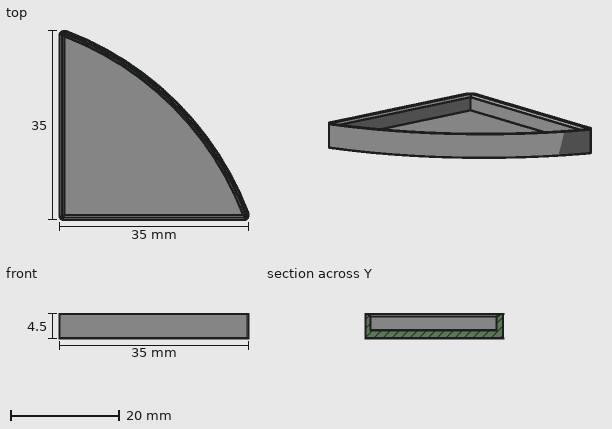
import cadquery as cq
import math

side_length = 35.0
height = 4.5
floor_thickness = 1.5
wall_thickness = 1.0
rim_chamfer = 0.5
corner_radius = 1.0
arc_radius = 58.0

tip_x = side_length - corner_radius
tip_y = corner_radius
half_sum = (tip_x + tip_y) / 2
half_difference = (tip_x - tip_y) / 2
tip_distance = arc_radius - corner_radius
arc_offset = math.sqrt(tip_distance**2 / 2 - half_difference**2) - half_sum


def sector_prism(inset, bottom, top):
    """Sharp-cornered sector: two straight sides and an arc, all moved inwards by inset."""
    radius = arc_radius - inset
    tip = math.sqrt(radius**2 - (arc_offset + inset) ** 2) - arc_offset
    arc_middle = radius / math.sqrt(2) - arc_offset
    return (
        cq.Workplane("XY", origin=(0, 0, bottom))
        .moveTo(inset, inset)
        .lineTo(tip, inset)
        .threePointArc((arc_middle, arc_middle), (inset, tip))
        .close()
        .extrude(top - bottom)
    )


def make_body():
    """Solid tray blank with rounded vertical corners."""
    return sector_prism(0, 0, height).edges("|Z").fillet(corner_radius)


def cut_pocket(body):
    """Open pocket that leaves the floor and the walls."""
    return body.cut(sector_prism(wall_thickness, floor_thickness, height))


def chamfer_rim(tray):
    """Chamfer the inner edge of the rim, mitred at the sharp pocket corners."""
    rim_wires = tray.faces(">Z").wires().vals()
    pocket_mouth = min(rim_wires, key=lambda wire: wire.Length())
    return tray.newObject(pocket_mouth.Edges()).chamfer(rim_chamfer)


result = chamfer_rim(cut_pocket(make_body()))